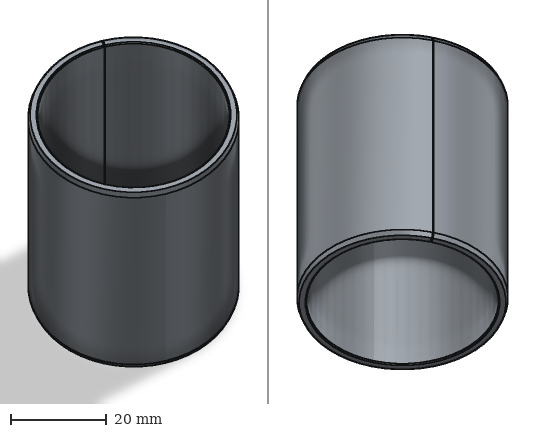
import cadquery as cq

length = 55.0
outer_diameter = 44.0
inner_diameter = 40.0
outer_chamfer_height = 1.2
outer_chamfer_depth = 0.45
inner_chamfer = 0.3
slit_width = 0.3

outer_radius = outer_diameter / 2
inner_radius = inner_diameter / 2
half_length = length / 2


def make_sleeve():
    """Revolve the wall section, with both edges chamfered at each end."""
    section = (
        cq.Workplane("XZ")
        .moveTo(inner_radius + inner_chamfer, -half_length)
        .lineTo(outer_radius - outer_chamfer_depth, -half_length)
        .lineTo(outer_radius, -half_length + outer_chamfer_height)
        .lineTo(outer_radius, half_length - outer_chamfer_height)
        .lineTo(outer_radius - outer_chamfer_depth, half_length)
        .lineTo(inner_radius + inner_chamfer, half_length)
        .lineTo(inner_radius, half_length - inner_chamfer)
        .lineTo(inner_radius, -half_length + inner_chamfer)
        .close()
    )
    return section.revolve(360, (0, 0, 0), (0, 1, 0))


def make_slit():
    """Full-length cutter through the wall on the -X side, opening from Y = 0 toward +Y."""
    return cq.Workplane("XY").box(
        outer_radius, slit_width, length, centered=(False, False, True)
    ).translate((-outer_radius, 0, 0))


result = make_sleeve().cut(make_slit())